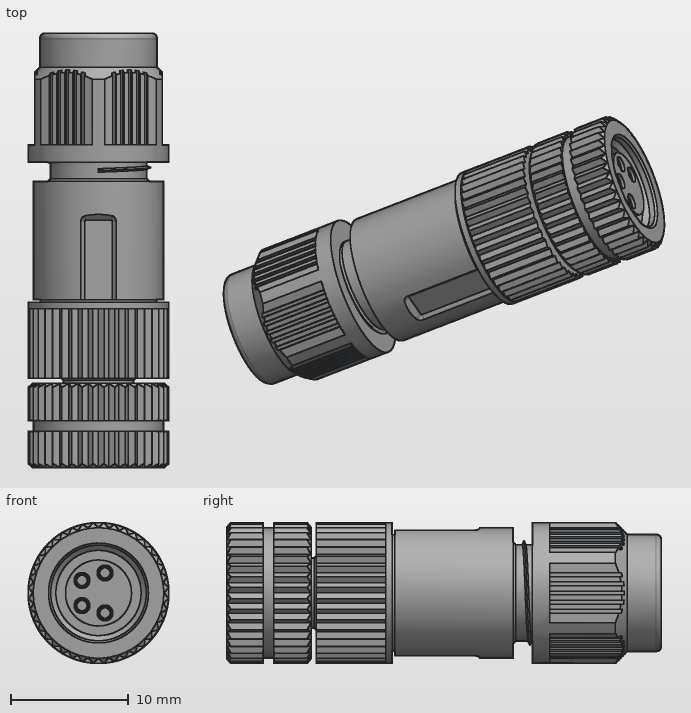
import cadquery as cq
import math


LENGTH = 37.0
OUTER_R = 6.0
BODY_R = 5.55

FRONT_RING_END = 3.1
BAND_END = 4.05
SECOND_RING_END = 7.2
FRONT_NECK_END = 7.62
COLLAR_KNURL_END = 13.55
COLLAR_END = 14.1
BODY_START = 14.32
BODY_END = 24.4
FLANGE_START = 26.0
GRIP_START = 27.5

FRONT_NECK_R = 3.0
FRONT_NECK_COLLAR = 0.15
SEAT_R = 4.95
REAR_NECK_R = 4.1
REAR_NECK_COLLAR = 0.22

TOOTH_COUNT = 40
TOOTH_ROOT_R = 5.6
RING_CHAMFER_LENGTH = 0.37
RING_CHAMFER_DEPTH = OUTER_R - BODY_R

RECESS_MOUTH_HALF_WIDTH = 1.7
RECESS_REAR = 21.57
RECESS_FLOOR_Z = 5.05
RECESS_CORNER_R = 0.6
RECESS_WALL_ANGLE = 45

THREAD_PITCH = 1.0
THREAD_START = 25.3
THREAD_HEIGHT = 0.35
THREAD_HALF_WIDTH = 0.2
THREAD_ROOT_EMBED = 0.07

GRIP_APOTHEM = 5.45
CAP_R = 5.0
CAP_START = 34.08
CAP_FILLET = 0.48
GRIP_CONE_LENGTH = OUTER_R - CAP_R
FLAT_COUNT = 6
GROOVES_PER_FLAT = 5
GROOVE_PITCH = 0.78
GROOVE_WIDTH = 0.35
GROOVE_DEPTH = 0.22

SOCKET_R = 4.07
SOCKET_CHAMFER = 0.2
SOCKET_CONE_START = 0.65
GAP_OUTER_R = 3.63
GAP_DEPTH = 2.95
INSERT_R = 2.8
INSERT_RECESS = 0.55
CONE_END = SOCKET_CONE_START + SOCKET_R - GAP_OUTER_R

CONTACT_PAIRS = [(0.55, 1.7), (-1.4, 1.07)]
CONTACT_MOUTH_R = 0.65
CONTACT_MOUTH_DEPTH = 0.3
CONTACT_LEAD_R = 0.55
CONTACT_R = 0.45
CONTACT_DEPTH = 2.22


def axial_plane(y):
    return cq.Workplane("ZX", origin=(0, y, 0))


def cylinder(start, end, radius):
    return axial_plane(start).circle(radius).extrude(end - start)


def revolved(points):
    """Solid of revolution about Y from (radius, y) points."""
    return cq.Workplane("XY").polyline(points).close().revolve(360, (0, 0, 0), (0, 1, 0))


def knurled(start, end):
    """V-toothed cylinder with a tooth root at the top (+Z)."""
    step = math.pi / TOOTH_COUNT
    outline = []
    for i in range(2 * TOOTH_COUNT):
        radius = OUTER_R if i % 2 else TOOTH_ROOT_R
        outline.append((radius * math.cos(i * step), radius * math.sin(i * step)))
    return axial_plane(start).polyline(outline).close().extrude(end - start)


def chamfered_ring(start, end, chamfered_face):
    """Knurled ring with one end face chamfered."""
    blank = cylinder(start, end, OUTER_R).faces(chamfered_face)
    blank = blank.chamfer(RING_CHAMFER_LENGTH, RING_CHAMFER_DEPTH)
    return knurled(start, end).intersect(blank)


def coupling_nut():
    front_ring = chamfered_ring(0, FRONT_RING_END, "<Y")
    band = cylinder(FRONT_RING_END, BAND_END, BODY_R)
    second_ring = chamfered_ring(BAND_END, SECOND_RING_END, ">Y")
    return front_ring.union(band).union(second_ring)


def front_neck():
    collar_r = FRONT_NECK_R + FRONT_NECK_COLLAR
    return revolved([
        (0, SECOND_RING_END),
        (FRONT_NECK_R, SECOND_RING_END),
        (FRONT_NECK_R, FRONT_NECK_END - FRONT_NECK_COLLAR),
        (collar_r, FRONT_NECK_END),
        (0, FRONT_NECK_END),
    ])


def knurled_collar():
    teeth = knurled(FRONT_NECK_END, COLLAR_KNURL_END)
    rim = cylinder(COLLAR_KNURL_END, COLLAR_END, OUTER_R)
    seat = cylinder(COLLAR_END, BODY_START, SEAT_R)
    return teeth.union(rim).union(seat)


def body():
    """Smooth barrel with a sloped-wall recess, open toward the front, on top and bottom."""
    barrel = cylinder(BODY_START, BODY_END, BODY_R)
    depth = BODY_R - RECESS_FLOOR_Z
    front = BODY_START - 2 * depth
    mouth = (
        cq.Sketch()
        .rect(2 * RECESS_MOUTH_HALF_WIDTH, RECESS_REAR - front)
        .vertices(">Y")
        .fillet(RECESS_CORNER_R)
    )
    recess = (
        cq.Workplane("XY", origin=(0, (front + RECESS_REAR) / 2, BODY_R))
        .placeSketch(mouth)
        .extrude(-depth, taper=RECESS_WALL_ANGLE)
    )
    return barrel.cut(recess).cut(recess.mirror("XY"))


def rear_neck():
    return revolved([
        (0, BODY_END),
        (REAR_NECK_R + REAR_NECK_COLLAR, BODY_END),
        (REAR_NECK_R, BODY_END + REAR_NECK_COLLAR),
        (REAR_NECK_R, FLANGE_START),
        (0, FLANGE_START),
    ])


def thread_start():
    """Right-handed triangular ridge that begins at the top and runs in behind the flange."""
    root_r = REAR_NECK_R - THREAD_ROOT_EMBED
    one_turn = cq.Wire.makeHelix(THREAD_PITCH, THREAD_PITCH, root_r)
    ridge = (
        cq.Workplane("XZ")
        .polyline([
            (root_r, -THREAD_HALF_WIDTH),
            (REAR_NECK_R + THREAD_HEIGHT, 0),
            (root_r, THREAD_HALF_WIDTH),
        ])
        .close()
        .sweep(cq.Workplane(one_turn), isFrenet=True)
    )
    placement = cq.Location(cq.Plane.named("ZX", origin=(0, THREAD_START, 0)))
    return cq.Workplane(ridge.val().moved(placement))


def clamping_nut():
    """Flange, hexagonal grip rounded at its corners with grooves in each flat, and cap."""
    flange = cylinder(FLANGE_START, GRIP_START, OUTER_R)
    cap = cylinder(GRIP_START, LENGTH, CAP_R).faces(">Y").edges().fillet(CAP_FILLET)

    grip_length = CAP_START - GRIP_START
    corner_r = GRIP_APOTHEM / math.cos(math.pi / FLAT_COUNT)
    hexagon = axial_plane(GRIP_START).polygon(FLAT_COUNT, 2 * corner_r)
    envelope = cylinder(GRIP_START, CAP_START, OUTER_R).faces(">Y").chamfer(GRIP_CONE_LENGTH)
    grip = hexagon.extrude(grip_length).intersect(envelope)

    middle = (GROOVES_PER_FLAT - 1) / 2
    groove = (
        cq.Workplane("XY", origin=(GRIP_APOTHEM, (GRIP_START + CAP_START) / 2, 0))
        .box(2 * GROOVE_DEPTH, grip_length, GROOVE_WIDTH)
    )
    for flat in range(FLAT_COUNT):
        for i in range(GROOVES_PER_FLAT):
            rib_gap = groove.translate((0, 0, (i - middle) * GROOVE_PITCH))
            grip = grip.cut(rib_gap.rotate((0, 0, 0), (0, 1, 0), flat * 360 / FLAT_COUNT))
    return flange.union(grip).union(cap)


def socket():
    """Cavity left around the contact insert."""
    return revolved([
        (0, 0),
        (SOCKET_R + SOCKET_CHAMFER, 0),
        (SOCKET_R, SOCKET_CHAMFER),
        (SOCKET_R, SOCKET_CONE_START),
        (GAP_OUTER_R, CONE_END),
        (GAP_OUTER_R, GAP_DEPTH),
        (INSERT_R, GAP_DEPTH),
        (INSERT_R, INSERT_RECESS),
        (0, INSERT_RECESS),
    ])


def contact_holes():
    """Four stepped holes in the insert, each with a conical lead into the contact bore."""
    step_y = INSERT_RECESS + CONTACT_MOUTH_DEPTH
    bottom_y = INSERT_RECESS + CONTACT_DEPTH
    hole = revolved([
        (0, INSERT_RECESS),
        (CONTACT_MOUTH_R, INSERT_RECESS),
        (CONTACT_MOUTH_R, step_y),
        (CONTACT_LEAD_R, step_y),
        (CONTACT_R, step_y + CONTACT_LEAD_R - CONTACT_R),
        (CONTACT_R, bottom_y),
        (0, bottom_y),
    ])
    holes = cq.Workplane("XY")
    for x, z in CONTACT_PAIRS:
        for side in (1, -1):
            holes = holes.union(hole.translate((x, 0, side * z)))
    return holes


result = (
    coupling_nut()
    .union(front_neck())
    .union(knurled_collar())
    .union(body())
    .union(rear_neck())
    .union(thread_start())
    .union(clamping_nut())
    .cut(socket())
    .cut(contact_holes())
)